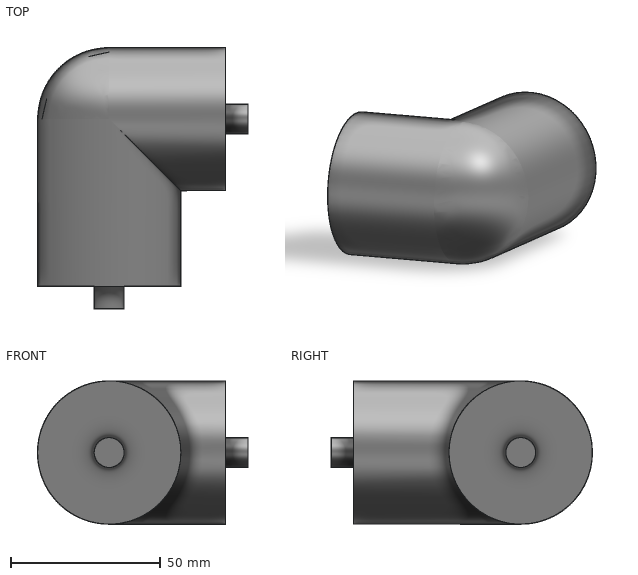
import cadquery as cq

body_diameter = 48.0
body_radius = body_diameter / 2
x_arm_length = 39.0
y_arm_length = 56.0

pin_diameter = 10.0
pin_length = 7.5


def arm_with_pin(arm_length):
    """Round arm rising along +Z from the origin, with a pin on its end face."""
    arm = cq.Workplane("XY").circle(body_radius).extrude(arm_length)
    return arm.faces(">Z").workplane().circle(pin_diameter / 2).extrude(pin_length)


def turn(arm, axis):
    """Quarter turn of an arm about an axis through the elbow centre."""
    return arm.rotate((0, 0, 0), axis, 90)


x_arm = turn(arm_with_pin(x_arm_length), (0, 1, 0))
y_arm = turn(arm_with_pin(y_arm_length), (1, 0, 0))
corner_ball = cq.Workplane("XY").sphere(body_radius)

result = x_arm.union(y_arm).union(corner_ball)